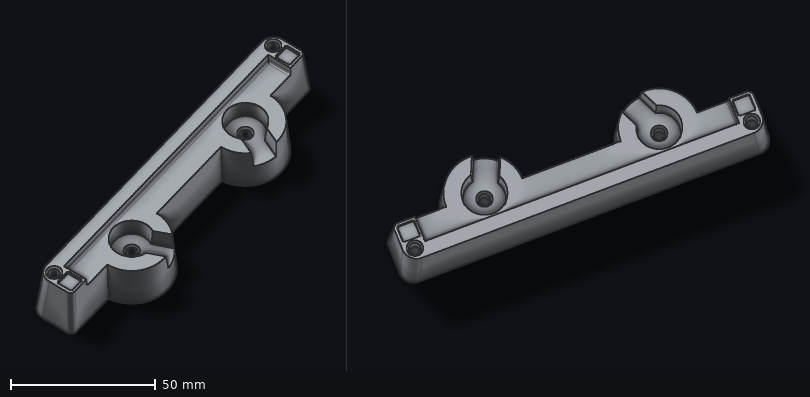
import cadquery as cq
import math

LENGTH = 137.5
TOTAL_WIDTH = 32.5
HEIGHT = 20.0
BODY_WIDTH = 18.4
DRAFT = 5.0
BACK_CORNER_RADIUS = 5.2
FRONT_CORNER_RADIUS = 2.0

STEP_Z = 16.6
STEP_X = 7.0
STEP_LENGTH = 117.2
STEP_COVE_RADIUS = 1.0

LUG_X = 16.8
LUG_Y = 32.6
LUG_RADIUS = TOTAL_WIDTH - LUG_X
POCKET_FLOOR_Z = 9.8
POCKET_FLOOR_RADIUS = 7.4
SLOT_FLOOR_WIDTH = 8.8
SLOT_ANGLE = 24.0

HOLE_DIAMETER = 4.3
HOLE_MOUTH_DIAMETER = 5.8
COUNTERSINK_DEPTH = 0.7
HOLE_DEPTH = 5.5
DRILL_TIP_ANGLE = 118.0
END_HOLE_X = 5.9
END_HOLE_Y = 62.8

SQUARE_X = 12.5
SQUARE_Y = 62.5
SQUARE_SIZE = 6.3
SQUARE_CORNER_RADIUS = 0.7
SQUARE_DEPTH = 1.4


def make_body():
    """Drafted bar with larger rounds on the back corners."""
    bar = (
        cq.Workplane("XY")
        .center(BODY_WIDTH / 2, 0)
        .rect(BODY_WIDTH, LENGTH)
        .extrude(HEIGHT, taper=DRAFT)
    )
    slanted_edges = bar.faces("<X").edges("not #Z").edges("not |Y")
    bar = slanted_edges.fillet(BACK_CORNER_RADIUS)
    return bar.faces(">X").edges("not |Y").fillet(FRONT_CORNER_RADIUS)


def make_step_cutter():
    """Open-fronted step, with a rounded foot along its back and end walls."""
    depth = HEIGHT - STEP_Z
    cutter = cq.Workplane("XY").box(TOTAL_WIDTH, STEP_LENGTH, depth, centered=(False, True, False))
    cutter = cutter.faces("<Z").edges("not >X").fillet(STEP_COVE_RADIUS)
    return cutter.translate((STEP_X, 0, STEP_Z))


def make_lug(side):
    return (
        cq.Workplane("XY")
        .center(LUG_X, side * LUG_Y)
        .circle(LUG_RADIUS)
        .extrude(STEP_Z, taper=DRAFT)
    )


def make_keyhole_cutter(side):
    """Drafted round pocket with a slot leaning towards the middle of the part."""
    depth = STEP_Z - POCKET_FLOOR_Z
    slot_length = 2 * LUG_RADIUS
    pocket = cq.Workplane("XY").circle(POCKET_FLOOR_RADIUS).extrude(depth, taper=-DRAFT)
    slot = (
        cq.Workplane("XY")
        .center(slot_length / 2, 0)
        .rect(slot_length, SLOT_FLOOR_WIDTH)
        .extrude(depth, taper=-DRAFT)
        .rotate((0, 0, 0), (0, 0, 1), -side * SLOT_ANGLE)
    )
    return pocket.union(slot).translate((LUG_X, side * LUG_Y, POCKET_FLOOR_Z))


def make_hole_cutter(x, y, top_z):
    radius = HOLE_DIAMETER / 2
    tip_depth = radius / math.tan(math.radians(DRILL_TIP_ANGLE / 2))
    profile = (
        cq.Workplane("XZ")
        .moveTo(0, 0)
        .lineTo(HOLE_MOUTH_DIAMETER / 2, 0)
        .lineTo(radius, -COUNTERSINK_DEPTH)
        .lineTo(radius, -HOLE_DEPTH)
        .lineTo(0, -HOLE_DEPTH - tip_depth)
        .close()
    )
    return profile.revolve(360, (0, 0, 0), (0, 1, 0)).translate((x, y, top_z))


def make_square_cutter(side):
    return (
        cq.Workplane("XY", origin=(SQUARE_X, side * SQUARE_Y, HEIGHT - SQUARE_DEPTH))
        .rect(SQUARE_SIZE, SQUARE_SIZE)
        .extrude(SQUARE_DEPTH)
        .edges("|Z")
        .fillet(SQUARE_CORNER_RADIUS)
    )


result = make_body().cut(make_step_cutter())
for side in (-1, 1):
    result = result.union(make_lug(side))
    result = result.cut(make_keyhole_cutter(side))
    result = result.cut(make_hole_cutter(LUG_X, side * LUG_Y, POCKET_FLOOR_Z))
    result = result.cut(make_hole_cutter(END_HOLE_X, side * END_HOLE_Y, HEIGHT))
    result = result.cut(make_square_cutter(side))